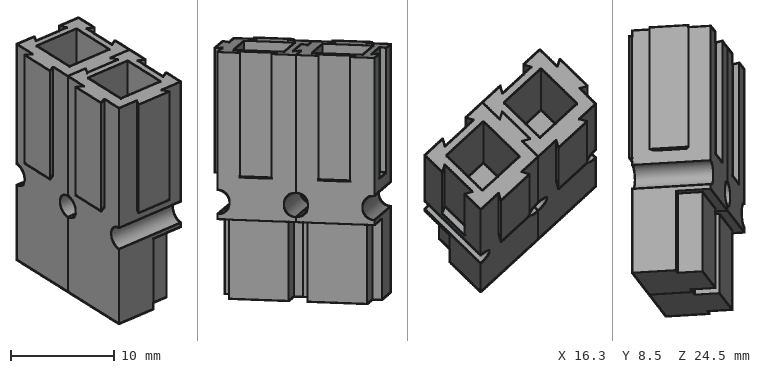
import cadquery as cq

HEIGHT = 24.5
WIDTH = 7.8
HOUSING_COUNT = 2

DOVETAIL_DEPTH = 0.7
DOVETAIL_TIP = 3.9
DOVETAIL_NECK = 3.1
DOVETAIL_LENGTH = 12.3

CAVITY_SIDE = 5.02
CAVITY_DEPTH = DOVETAIL_LENGTH

AXIS_OFFSET = 0.1
AXIS_X = WIDTH / 2 + AXIS_OFFSET
AXIS_Y = WIDTH / 2 - AXIS_OFFSET

PIN_RADIUS = 1.2
PIN_HEIGHT = 9.7

FOOT_HEIGHT = 8.0
FOOT_BACK_INSET = 1.0
FOOT_SIDE_INSET = 0.93
FOOT_SHOULDER_Y = 4.34


def box(x_size, y_size, z_size, corner):
    """A box whose lowest corner is at the given point."""
    return cq.Workplane("XY").box(x_size, y_size, z_size, centered=False).translate(corner)


def extrude_from_top(outline):
    """A dovetail bar hanging down from the top face."""
    return cq.Workplane("XY", origin=(0, 0, HEIGHT)).polyline(outline).close().extrude(-DOVETAIL_LENGTH)


def dovetail_along_x(base_x):
    """A dovetail that starts at its neck at base_x and widens toward +X."""
    outline = [
        (base_x, AXIS_Y - DOVETAIL_NECK / 2),
        (base_x + DOVETAIL_DEPTH, AXIS_Y - DOVETAIL_TIP / 2),
        (base_x + DOVETAIL_DEPTH, AXIS_Y + DOVETAIL_TIP / 2),
        (base_x, AXIS_Y + DOVETAIL_NECK / 2),
    ]
    return extrude_from_top(outline)


def dovetail_along_y(base_y):
    """A dovetail that starts at its neck at base_y and widens toward -Y."""
    outline = [
        (AXIS_X - DOVETAIL_NECK / 2, base_y),
        (AXIS_X - DOVETAIL_TIP / 2, base_y - DOVETAIL_DEPTH),
        (AXIS_X + DOVETAIL_TIP / 2, base_y - DOVETAIL_DEPTH),
        (AXIS_X + DOVETAIL_NECK / 2, base_y),
    ]
    return extrude_from_top(outline)


def cavity():
    """The blind square pocket that holds the contact."""
    corner = (AXIS_X - CAVITY_SIDE / 2, AXIS_Y - CAVITY_SIDE / 2, HEIGHT - CAVITY_DEPTH)
    return box(CAVITY_SIDE, CAVITY_SIDE, CAVITY_DEPTH, corner)


def pin_notches():
    """Cylinders along Y, centred on both side faces."""
    centres = [(0, PIN_HEIGHT), (WIDTH, PIN_HEIGHT)]
    return cq.Workplane("XZ").pushPoints(centres).circle(PIN_RADIUS).extrude(-WIDTH)


def foot_relief():
    """The material missing from the back and both rear corners of the foot."""
    relief = box(WIDTH, FOOT_BACK_INSET, FOOT_HEIGHT, (0, WIDTH - FOOT_BACK_INSET, 0))
    shoulder_depth = WIDTH - FOOT_SHOULDER_Y
    for x in (0, WIDTH - FOOT_SIDE_INSET):
        relief = relief.union(box(FOOT_SIDE_INSET, shoulder_depth, FOOT_HEIGHT, (x, FOOT_SHOULDER_Y, 0)))
    return relief


def make_housing(index):
    """One housing; each tongue on its +X side fills the groove of the next housing."""
    block = box(WIDTH, WIDTH, HEIGHT, (0, 0, 0))
    tongues = dovetail_along_x(WIDTH).union(dovetail_along_y(0))
    grooves = dovetail_along_x(0).union(dovetail_along_y(WIDTH))
    housing = block.cut(grooves).union(tongues)
    housing = housing.cut(cavity()).cut(pin_notches()).cut(foot_relief())
    return housing.translate((index * WIDTH, 0, 0))


housings = [make_housing(index) for index in range(HOUSING_COUNT)]

result = cq.Compound.makeCompound([housing.val() for housing in housings])